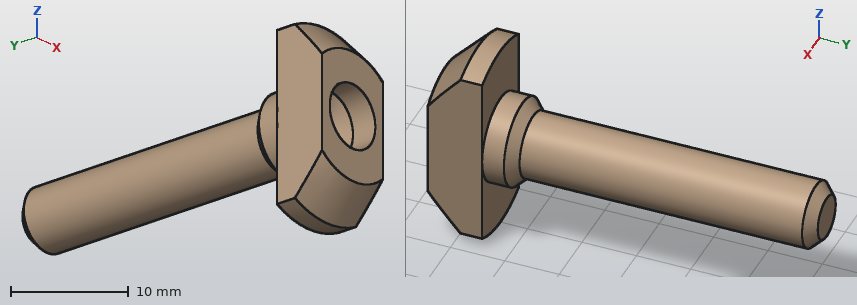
import cadquery as cq
import math

total_length = 35.0
head_width = 8.0
head_diameter = 18.0

face_diameter = 12.0
head_thickness = 5.0
rim_thickness = 2.0

collar_diameter = head_width
collar_length = 2.0
shank_diameter = 6.0
collar_taper = (collar_diameter - shank_diameter) / 2
tip_chamfer = 1.0

recess_diameter = shank_diameter
recess_depth = 2.5
drill_point_angle = 120.0


def revolve_about_axis(profile):
    """Solid of revolution about Y from (radius, y) points."""
    return cq.Workplane("XY").polyline(profile).close().revolve(360, (0, 0), (0, 1))


def make_head():
    """Round head with a conical front, cut down to two parallel flats."""
    profile = [
        (0, 0),
        (face_diameter / 2, 0),
        (head_diameter / 2, head_thickness - rim_thickness),
        (head_diameter / 2, head_thickness),
        (0, head_thickness),
    ]
    round_head = revolve_about_axis(profile)
    flats = cq.Workplane("XY").box(
        head_width, head_thickness, head_diameter, centered=(True, False, True)
    )
    return round_head.intersect(flats)


def make_stem():
    """Collar tapering at 45 degrees to a shank with a chamfered tip."""
    collar_end = head_thickness + collar_length
    profile = [
        (0, head_thickness),
        (collar_diameter / 2, head_thickness),
        (collar_diameter / 2, collar_end),
        (shank_diameter / 2, collar_end + collar_taper),
        (shank_diameter / 2, total_length - tip_chamfer),
        (shank_diameter / 2 - tip_chamfer, total_length),
        (0, total_length),
    ]
    return revolve_about_axis(profile)


def make_recess():
    """Blind drilled recess with a conical bottom."""
    radius = recess_diameter / 2
    cone_height = radius / math.tan(math.radians(drill_point_angle / 2))
    profile = [
        (0, 0),
        (radius, 0),
        (radius, recess_depth),
        (0, recess_depth + cone_height),
    ]
    return revolve_about_axis(profile)


result = make_head().union(make_stem()).cut(make_recess())